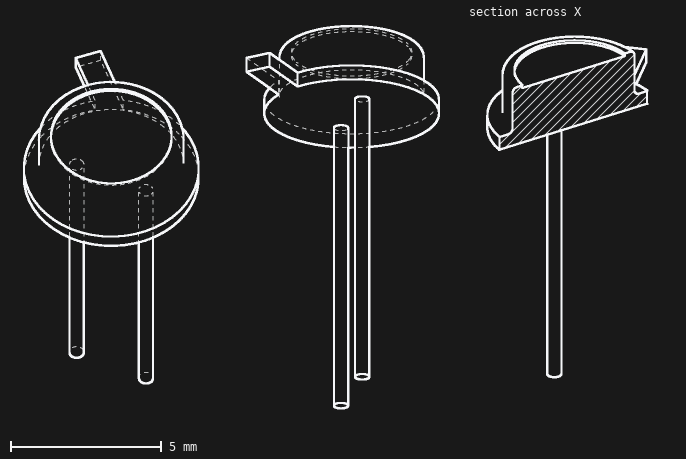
import cadquery as cq
import math

flange_diameter = 5.8
flange_thickness = 0.5

cap_diameter = 4.8
cap_height = 1.7
cap_top_radius = 0.2
cap_foot_radius = 0.15

window_diameter = 4.0
window_depth = 0.1

pin_diameter = 0.48
pin_length = 10.0
pin_spacing = 2.54

tab_width = 0.88
tab_angle = 135.0
tab_corner_x = -3.06
tab_corner_y = 4.33


def make_flange():
    return cq.Workplane("XY").circle(flange_diameter / 2).extrude(flange_thickness)


def make_cap():
    """Revolved cap with a rounded top edge and a concave fillet at its foot."""
    radius = cap_diameter / 2
    top = flange_thickness + cap_height
    midpoint_inset = 1 - math.sqrt(0.5)
    foot_inset = cap_foot_radius * midpoint_inset
    top_inset = cap_top_radius * midpoint_inset
    return (
        cq.Workplane("XZ")
        .moveTo(0, 0)
        .lineTo(radius + cap_foot_radius, 0)
        .lineTo(radius + cap_foot_radius, flange_thickness)
        .threePointArc(
            (radius + foot_inset, flange_thickness + foot_inset),
            (radius, flange_thickness + cap_foot_radius),
        )
        .lineTo(radius, top - cap_top_radius)
        .threePointArc((radius - top_inset, top - top_inset), (radius - cap_top_radius, top))
        .lineTo(window_diameter / 2, top)
        .lineTo(window_diameter / 2, top - window_depth)
        .lineTo(0, top - window_depth)
        .close()
        .revolve(360, (0, 0, 0), (0, 1, 0))
    )


def make_pins():
    return (
        cq.Workplane("XY")
        .pushPoints([(-pin_spacing / 2, 0), (pin_spacing / 2, 0)])
        .circle(pin_diameter / 2)
        .extrude(-pin_length)
    )


def make_tab():
    """Rectangular bar from its outer end to the point nearest the flange axis."""
    angle = math.radians(tab_angle)
    end_x = tab_corner_x + tab_width * math.sin(angle) / 2
    end_y = tab_corner_y + tab_width * math.cos(angle) / 2
    length = end_x * math.cos(angle) + end_y * math.sin(angle)
    return (
        cq.Workplane("XY")
        .rect(length, tab_width)
        .extrude(flange_thickness)
        .translate((-length / 2, 0, 0))
        .rotate((0, 0, 0), (0, 0, 1), tab_angle)
        .translate((end_x, end_y, 0))
    )


result = make_flange().union(make_cap()).union(make_pins()).union(make_tab())